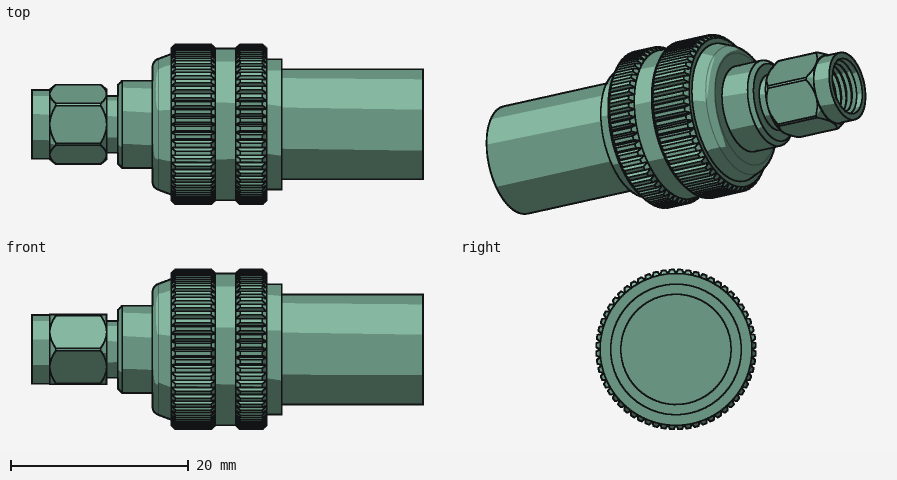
import cadquery as cq
import math

TOTAL_LENGTH = 44.05

SLEEVE_LENGTH = 2.03
SLEEVE_RADIUS = 3.88
HEX_END = 8.4
HEX_FLATS = 7.9
HEX_CORNERS = 8.95
HEX_CHAMFER_LENGTH = 0.65
NECK_END = 9.7
NECK_RADIUS = 3.2

THREAD_MAJOR_RADIUS = 3.15
THREAD_MINOR_RADIUS = 2.77
THREAD_PITCH = 0.7
THREAD_TURNS = 3
MOUTH_DEPTH = 0.75
BORE_DEPTH = MOUTH_DEPTH + THREAD_TURNS * THREAD_PITCH + THREAD_PITCH / 2
INSULATOR_RADIUS = 2.15
INSULATOR_HEIGHT = 0.3
PIN_RADIUS = 0.57
PIN_HEIGHT = 0.2
PIN_CHAMFER = 0.15

COLLAR_RADIUS = 4.95
COLLAR_CHAMFER = 0.5
SHOULDER_START = 13.55
SHOULDER_FRONT_RADIUS = 7.15
SHOULDER_BACK_RADIUS = 7.93
SHOULDER_FILLET = 1.0
BARREL_RADIUS = 8.55
KNURL_DIAMETER = 18.0
KNURL_RADIUS = KNURL_DIAMETER / 2
KNURL_CHAMFER = 0.5
FRONT_KNURL = (15.7, 20.65)
REAR_KNURL = (22.95, 26.42)
TOOTH_COUNT = 60
LAND_FRACTION = 0.5
FLANGE_END = 28.15
FLANGE_RADIUS = 7.35
TAIL_RADIUS = 6.2


def cylinder(start, end, radius):
    """Cylinder on the X axis between two stations."""
    return cq.Workplane("YZ").workplane(offset=start).circle(radius).extrude(end - start)


def revolved(profile):
    """Solid of revolution about X from (x, radius) points."""
    return cq.Workplane("XY").polyline(profile).close().revolve(360, (0, 0, 0), (1, 0, 0))


def chamfered_cylinder(start, end, radius, length, end_radius):
    """Cylinder whose two ends taper down to end_radius over the given length."""
    return revolved([
        (start, 0),
        (start, end_radius),
        (start + length, radius),
        (end - length, radius),
        (end, end_radius),
        (end, 0),
    ])


def make_hexagon():
    """Hexagon with flats facing +Z and -Z, its corners and ends turned down."""
    corner_to_corner = HEX_FLATS / math.cos(math.pi / 6)
    prism = (
        cq.Workplane("YZ")
        .workplane(offset=SLEEVE_LENGTH)
        .polygon(6, corner_to_corner)
        .extrude(HEX_END - SLEEVE_LENGTH)
    )
    turned = chamfered_cylinder(
        SLEEVE_LENGTH, HEX_END, HEX_CORNERS / 2, HEX_CHAMFER_LENGTH, HEX_FLATS / 2
    )
    return prism.intersect(turned)


def make_bore():
    """Threaded bore: a plain mouth followed by V grooves down to the floor."""
    profile = [(0, 0), (0, THREAD_MAJOR_RADIUS), (MOUTH_DEPTH, THREAD_MAJOR_RADIUS)]
    for turn in range(THREAD_TURNS):
        root = MOUTH_DEPTH + turn * THREAD_PITCH
        profile.append((root + THREAD_PITCH / 2, THREAD_MINOR_RADIUS))
        profile.append((root + THREAD_PITCH, THREAD_MAJOR_RADIUS))
    profile.append((BORE_DEPTH, THREAD_MINOR_RADIUS))
    profile.append((BORE_DEPTH, 0))
    return revolved(profile)


def make_plug():
    """Hexagonal plug whose threaded bore holds a raised insulator disc and chamfered pin."""
    insulator_face = BORE_DEPTH - INSULATOR_HEIGHT
    pin_tip = insulator_face - PIN_HEIGHT
    outside = (
        cylinder(0, SLEEVE_LENGTH, SLEEVE_RADIUS)
        .union(make_hexagon())
        .union(cylinder(HEX_END, NECK_END, NECK_RADIUS))
    )
    insulator = cylinder(insulator_face, BORE_DEPTH, INSULATOR_RADIUS)
    pin = cylinder(pin_tip, insulator_face, PIN_RADIUS).faces("<X").chamfer(PIN_CHAMFER)
    return outside.cut(make_bore()).union(insulator).union(pin)


def polar(radius, angle):
    """Point of a cross-section, given by its radius and its angle from +Y."""
    return (radius * math.cos(angle), radius * math.sin(angle))


def make_knurl(start, end):
    """Chamfered band with V grooves along X, one of them centred on +Y."""
    pitch = 2 * math.pi / TOOTH_COUNT
    half_land = LAND_FRACTION * pitch / 2
    outline = cq.Workplane("YZ").workplane(offset=start).moveTo(BARREL_RADIUS, 0)
    for tooth in range(TOOTH_COUNT):
        middle = (tooth + 0.5) * pitch
        outline = (
            outline.lineTo(*polar(KNURL_RADIUS, middle - half_land))
            .threePointArc(polar(KNURL_RADIUS, middle), polar(KNURL_RADIUS, middle + half_land))
        )
        if tooth < TOOTH_COUNT - 1:
            outline = outline.lineTo(*polar(BARREL_RADIUS, (tooth + 1) * pitch))
    toothed = outline.close().extrude(end - start)
    return toothed.intersect(
        chamfered_cylinder(start, end, KNURL_RADIUS, KNURL_CHAMFER, BARREL_RADIUS)
    )


def make_shoulder():
    """Cone in front of the knurls, its front rim rounded."""
    cone = revolved([
        (SHOULDER_START, 0),
        (SHOULDER_START, SHOULDER_FRONT_RADIUS),
        (FRONT_KNURL[0], SHOULDER_BACK_RADIUS),
        (FRONT_KNURL[0], 0),
    ])
    return cone.faces("<X").edges().fillet(SHOULDER_FILLET)


def make_body():
    """Knurled body from the collar to the end of the tail."""
    collar = cylinder(NECK_END, SHOULDER_START, COLLAR_RADIUS).faces("<X").chamfer(COLLAR_CHAMFER)
    return (
        collar.union(make_shoulder())
        .union(make_knurl(*FRONT_KNURL))
        .union(cylinder(FRONT_KNURL[1], REAR_KNURL[0], BARREL_RADIUS))
        .union(make_knurl(*REAR_KNURL))
        .union(cylinder(REAR_KNURL[1], FLANGE_END, FLANGE_RADIUS))
        .union(cylinder(FLANGE_END, TOTAL_LENGTH, TAIL_RADIUS))
    )


plug = make_plug()
body = make_body()
result = cq.Compound.makeCompound([plug.val(), body.val()])